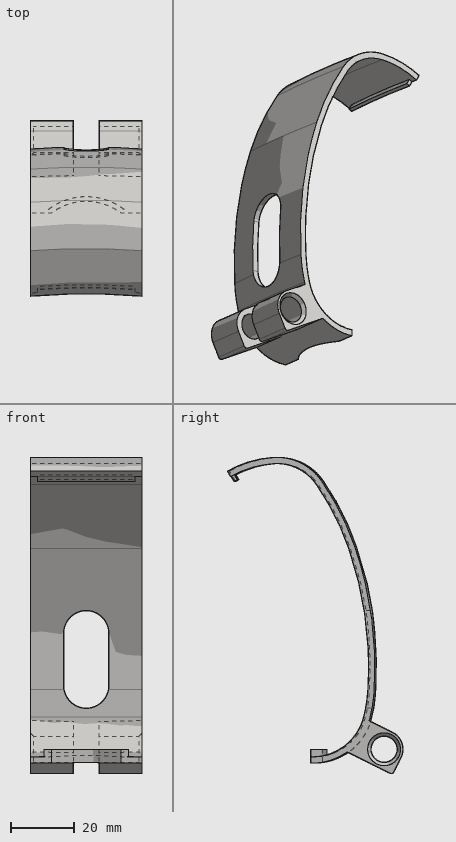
import cadquery as cq
import math

reach = 298.5

width = 35.2
thickness = 2.0
crown_axis_y = -213.9
center_crown = 0.7

tip_y = 1.2 + center_crown
tip_z = 93.4
tip_heading = 30.0
inner_arcs = [
    (30.8, 3.7),
    (15.1, -55.4),
    (83.1, -71.0),
    (114.5, -93.6),
    (48.2, -103.9),
    (16.5, -185.0),
]
end_y = 26.4
end_trim_height = 19.9

window_width = 14.1
window_height = 30.6
window_z = 35.9

tip_lip_width = 30.7
tip_lip_depth = 1.2
tip_lip_height = 1.8

lip_center_y = 11.9
lip_outer_radius = 19.6
lip_inner_radius = 18.1
lip_top_z = 7.7
lip_bottom_z = 4.5

bore_y = 49.5
bore_z = 7.7
bore_radius = 4.1
bore_chamfer = 1.1
ear_tilt = 26.5
ear_half_height = 6.0
ear_corner_radius = 1.0
ear_length = 21.9
ear_gap = 8.1


def step(point, heading, distance):
    """Point reached by moving from a point along a heading in degrees."""
    angle = math.radians(heading)
    return (point[0] + distance * math.cos(angle), point[1] + distance * math.sin(angle))


def strap_arcs(offset):
    """Start, middle and end points of each arc, offset outward from the inner side."""
    arcs = []
    inner_point = (tip_y, tip_z)
    heading = tip_heading
    for radius, end_heading in inner_arcs:
        center = step(inner_point, heading - 90, radius)
        headings = (heading, (heading + end_heading) / 2, end_heading)
        arcs.append([step(center, h + 90, radius + offset) for h in headings])
        inner_point = step(center, end_heading + 90, radius)
        heading = end_heading
    return arcs


def sweep_across(profile):
    """Turn a YZ profile about the crown axis, a little wider than the part."""
    half_angle = math.degrees(math.asin(0.6 * width / -crown_axis_y))
    solid = profile.revolve(2 * half_angle, (crown_axis_y, 0), (crown_axis_y, 1))
    return solid.rotate((0, crown_axis_y, 0), (0, crown_axis_y, 1), -half_angle)


def trim_width(body, total_width):
    return body.intersect(cq.Workplane("XY").box(total_width, reach, reach))


def make_strap():
    inner = strap_arcs(0)
    outer = strap_arcs(thickness)
    profile = cq.Workplane("YZ").moveTo(*inner[0][0])
    for _, middle, end in inner:
        profile = profile.threePointArc(middle, end)
    profile = profile.lineTo(*outer[-1][2])
    for start, middle, _ in reversed(outer):
        profile = profile.threePointArc(middle, start)
    strap = trim_width(sweep_across(profile.close()), width)
    past_end = (
        cq.Workplane("XY")
        .box(width, reach, end_trim_height, centered=(True, False, False))
        .translate((0, end_y - reach, 0))
    )
    return strap.cut(past_end)


def make_inner_space():
    """Space enclosed by a surface halfway through the strap thickness."""
    arcs = strap_arcs(thickness / 2)
    profile = cq.Workplane("YZ").moveTo(*arcs[0][0])
    for _, middle, end in arcs:
        profile = profile.threePointArc(middle, end)
    return sweep_across(profile.close())


def make_tip_lip():
    root = (tip_y, tip_z)
    back = step(root, tip_heading, tip_lip_depth)
    corners = [
        root,
        step(root, tip_heading - 90, tip_lip_height),
        step(back, tip_heading - 90, tip_lip_height),
        back,
    ]
    return trim_width(sweep_across(cq.Workplane("YZ").polyline(corners).close()), tip_lip_width)


def lip_cylinder(radius):
    return cq.Workplane("XY").center(0, lip_center_y).circle(radius).extrude(lip_top_z)


def make_end_lip():
    """Curved band that reaches down into the strap and ends flush with its square end."""
    band_height = lip_top_z - lip_bottom_z
    slab = (
        cq.Workplane("XY")
        .box(width, reach, band_height, centered=(True, False, False))
        .translate((0, end_y, lip_bottom_z))
    )
    return lip_cylinder(lip_outer_radius).intersect(slab)


def make_ears():
    """Tilted block with a rounded upper back corner, bored and split into two ears."""
    h = ear_half_height
    ears = (
        cq.Workplane("YZ")
        .moveTo(-ear_length, -h)
        .lineTo(h, -h)
        .lineTo(h, 0)
        .radiusArc((0, h), -h)
        .lineTo(-ear_length, h)
        .close()
        .extrude(width / 2, both=True)
        .edges("|X and >Y and <Z")
        .fillet(ear_corner_radius)
    )
    bore = cq.Workplane("YZ").circle(bore_radius).extrude(width / 2, both=True)
    ears = ears.cut(bore)
    rim_search = bore_radius / 2
    bore_rims = cq.selectors.BoxSelector(
        (-width, -rim_search, -rim_search), (width, rim_search, rim_search)
    )
    ears = ears.edges("%CIRCLE").edges(bore_rims).chamfer(bore_chamfer)
    ears = ears.rotate((0, 0, 0), (1, 0, 0), -ear_tilt).translate((0, bore_y, bore_z))
    gap = cq.Workplane("XY").box(ear_gap, reach, reach)
    return ears.cut(gap)


inner_space = make_inner_space()
strap = make_strap().union(make_ears().cut(inner_space))
window = (
    cq.Workplane("XZ")
    .center(0, window_z)
    .slot2D(window_height, window_width, 90)
    .extrude(-reach)
)
strap = strap.cut(window).union(make_end_lip())
strap = strap.cut(lip_cylinder(lip_inner_radius))
result = strap.union(make_tip_lip(), clean=False)